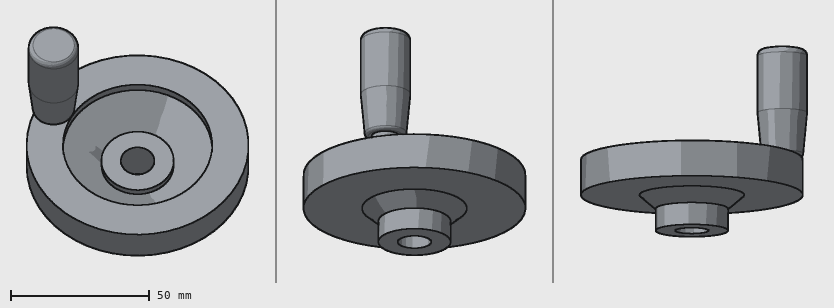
import cadquery as cq
import math

wheel_radius = 40.0
rim_bottom = 13.0
rim_height = 12.95
rim_top = rim_bottom + rim_height
hub_radius = 13.0
hub_neck_height = 8.0
hub_top = 16.25
cone_outer_radius = 18.9
bore_radius = 6.0

recess_radius = 26.9
recess_wall_depth = 3.3
dish_floor_height = 13.7

overall_length = 82.5
overall_height = 68.5
grip_radius = 9.0
handle_offset = overall_length - wheel_radius - grip_radius
stem_radius = 5.0
grip_bottom = 28.4
grip_bottom_radius = 7.6
grip_bottom_rounding = 1.2
taper_top = 44.55
grip_shoulder = 65.3
dome_radius = 7.4
dome_base = 67.5
shoulder_bulge_radius = 8.4
shoulder_bulge_height = 66.8
stem_embed = 0.8


def make_wheel():
    """Revolve the rim, web and bored hub as one section."""
    section = (
        cq.Workplane("XZ")
        .moveTo(bore_radius, 0)
        .lineTo(hub_radius, 0)
        .lineTo(hub_radius, hub_neck_height)
        .lineTo(cone_outer_radius, rim_bottom)
        .lineTo(wheel_radius, rim_bottom)
        .lineTo(wheel_radius, rim_top)
        .lineTo(recess_radius, rim_top)
        .lineTo(recess_radius, rim_top - recess_wall_depth)
        .lineTo(hub_radius, dish_floor_height)
        .lineTo(hub_radius, hub_top)
        .lineTo(bore_radius, hub_top)
        .close()
    )
    return section.revolve(360, (0, 0, 0), (0, 1, 0))


def make_handle():
    """Revolve the stem and domed grip, then move them over the rim."""
    dome_rise = overall_height - dome_base
    dome_sphere_radius = (dome_radius**2 + dome_rise**2) / (2 * dome_rise)
    dome_mid_drop = dome_sphere_radius - math.sqrt(dome_sphere_radius**2 - (dome_radius / 2) ** 2)
    dome_mid_height = overall_height - dome_mid_drop
    rounding_top = grip_bottom + grip_bottom_rounding
    section = (
        cq.Workplane("XZ")
        .moveTo(0, rim_top - stem_embed)
        .lineTo(stem_radius, rim_top - stem_embed)
        .lineTo(stem_radius, grip_bottom)
        .lineTo(grip_bottom_radius - grip_bottom_rounding, grip_bottom)
        .tangentArcPoint((grip_bottom_radius, rounding_top), relative=False)
        .lineTo(grip_radius, taper_top)
        .lineTo(grip_radius, grip_shoulder)
        .threePointArc((shoulder_bulge_radius, shoulder_bulge_height), (dome_radius, dome_base))
        .threePointArc((dome_radius / 2, dome_mid_height), (0, overall_height))
        .close()
    )
    handle = section.revolve(360, (0, 0, 0), (0, 1, 0))
    return handle.translate((-handle_offset, 0, 0))


result = make_wheel().union(make_handle())